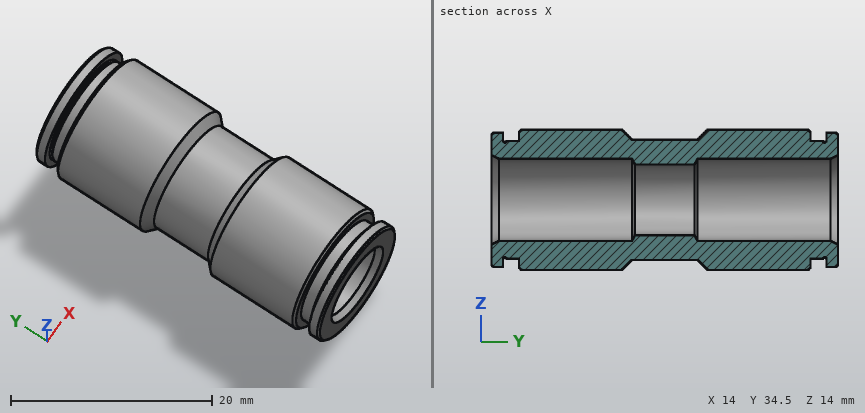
import cadquery as cq

half_length = 34.5 / 2

body_radius = 7.0
body_half_length = 14.53
body_chamfer = 0.28
waist_radius = 6.0
waist_half_length = 3.28
shoulder_length = body_radius - waist_radius

flange_radius = 6.7
flange_thickness = 1.17
flange_chamfer = 0.2
sleeve_radius = 5.85
groove_depth = 0.17
groove_half_width = 0.17

bore_radius = 4.07
mouth_radius = 4.45
mouth_depth = 0.75
stop_radius = 3.52
stop_taper_length = 0.3

flange_back = half_length - flange_thickness
groove_bottom = flange_back - groove_half_width
groove_front = groove_bottom - groove_half_width

half_profile = [
    (waist_radius, waist_half_length),
    (body_radius, waist_half_length + shoulder_length),
    (body_radius, body_half_length - body_chamfer),
    (body_radius - body_chamfer, body_half_length),
    (sleeve_radius, body_half_length),
    (sleeve_radius, groove_front),
    (sleeve_radius - groove_depth, groove_bottom),
    (sleeve_radius, flange_back),
    (flange_radius, flange_back),
    (flange_radius, half_length - flange_chamfer),
    (flange_radius - flange_chamfer, half_length),
    (mouth_radius, half_length),
    (bore_radius, half_length - mouth_depth),
    (bore_radius, waist_half_length),
    (stop_radius, waist_half_length - stop_taper_length),
]

mirrored_profile = [(radius, -y) for radius, y in reversed(half_profile)]

result = (
    cq.Workplane("XY")
    .polyline(half_profile + mirrored_profile)
    .close()
    .revolve(360, (0, 0, 0), (0, 1, 0))
)